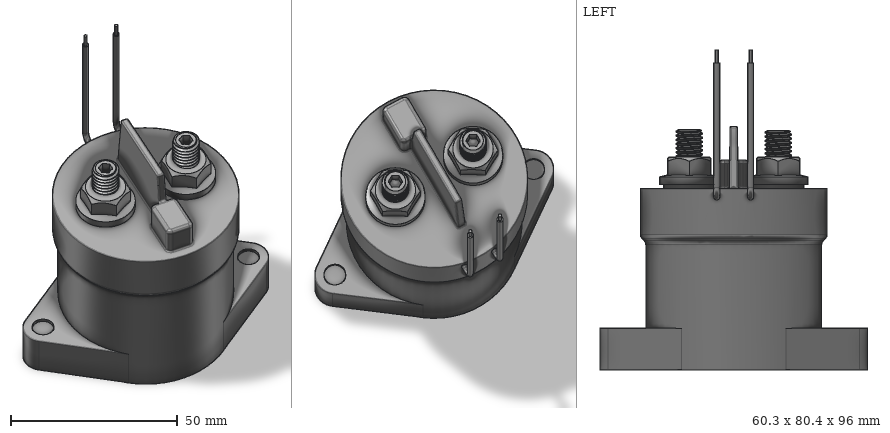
import cadquery as cq
import math

body_radius = 26.4
cap_radius = 28.0
cap_top = 54.5
step_top = 39.9
step_bottom = step_top - (cap_radius - body_radius)
step_blend = 1.7
rim_edge = 0.2

flange_height = 12.6
ear_radius = 6.0
flange_length = 80.4
ear_tip = flange_length / 2
ear_center = ear_tip - ear_radius
mount_hole_diameter = 6.5
mount_recess_depth = 1.0

block_x_min = 11.8
block_x_max = 24.9
block_width = 8.6
block_top = 63.1
block_edge = 1.2
block_corner = 1.5
fin_base_thickness = 2.6
fin_top_thickness = 2.3
fin_top = 73.1
fin_top_x_min = -15.1
fin_top_x_max = 10.8
fin_base_x_min = -17.1
fin_base_x_max = 12.9
fin_edge = 0.5
foot_flare = 0.5
seam_blend = 0.6

terminal_offset = 13.3
front_stud_top = 71.9
rear_stud_top = 72.2
pad_radius = 7.7
nut_base = 55.6
nut_flange_radius = 8.9
nut_flange_rim = 57.9
nut_flange_top = 58.8
nut_neck_radius = 5.8
nut_flats = 13.0
nut_corners = nut_flats / math.cos(math.pi / 6)
nut_top = 63.8
nut_crown_radius = 6.0
nut_chamfer_height = 1.2
stud_radius = 4.0
stud_root_radius = 3.3
stud_tip_radius = 3.1
stud_chamfer_height = 0.6
thread_pitch = 1.2
thread_crest = 0.2
thread_root_width = 1.1
thread_turns = 9
thread_start_depth = 9.7
socket_flats = 3.6
socket_depth = 4.0

wire_reach = 60.3
wire_y = 5.1
wire_exit_z = 51.9
wire_bend = 2.9
insulation_diameter = 1.8
wire_x = cap_radius - wire_reach + insulation_diameter / 2
wire_root_x = -cap_radius + insulation_diameter
insulation_top = 92.2
core_diameter = 1.0
core_top = 96.0

overlap = 0.1


def revolve_about_z(outline):
    """Turn a closed outline of (radius, z) points into a solid of revolution."""
    return cq.Workplane("XZ").polyline(outline).close().revolve(360, (0, 0, 0), (0, 1, 0))


def make_housing():
    housing = revolve_about_z(
        [
            (0, 0),
            (body_radius, 0),
            (body_radius, step_bottom),
            (cap_radius, step_top),
            (cap_radius, cap_top),
            (0, cap_top),
        ]
    )
    step_edges = cq.selectors.BoxSelector(
        (-cap_radius, -cap_radius, step_bottom - overlap),
        (cap_radius, cap_radius, step_top + overlap),
    )
    housing = housing.edges(step_edges).edges("%CIRCLE").fillet(step_blend)
    return housing.faces(">Z").edges().fillet(rim_edge)


def make_flange():
    tangent = math.asin((body_radius - ear_radius) / ear_center)
    body_x = body_radius * math.cos(tangent)
    body_y = body_radius * math.sin(tangent)
    ear_x = ear_radius * math.cos(tangent)
    ear_y = ear_center + ear_radius * math.sin(tangent)
    outline = (
        cq.Workplane("XY")
        .moveTo(body_x, body_y)
        .lineTo(ear_x, ear_y)
        .threePointArc((0, ear_tip), (-ear_x, ear_y))
        .lineTo(-body_x, body_y)
        .threePointArc((-body_radius, 0), (-body_x, -body_y))
        .lineTo(-ear_x, -ear_y)
        .threePointArc((0, -ear_tip), (ear_x, -ear_y))
        .lineTo(body_x, -body_y)
        .threePointArc((body_radius, 0), (body_x, body_y))
        .close()
    )
    return outline.extrude(flange_height).faces(">Z or <Z").edges().fillet(rim_edge)


def cut_mount_recesses(part):
    recesses = (
        cq.Workplane("XY", origin=(0, 0, flange_height - mount_recess_depth))
        .pushPoints([(0, ear_center), (0, -ear_center)])
        .circle(mount_hole_diameter / 2)
        .extrude(2 * mount_recess_depth)
    )
    return part.cut(recesses)


def make_block():
    block = (
        cq.Workplane("XY", origin=((block_x_min + block_x_max) / 2, 0, cap_top))
        .rect(block_x_max - block_x_min, block_width)
        .extrude(block_top - cap_top)
    )
    return block.edges("|Z").fillet(block_corner).faces(">Z").edges().fillet(block_edge)


def make_fin():
    base_middle = (fin_base_x_min + fin_base_x_max) / 2
    top_middle = (fin_top_x_min + fin_top_x_max) / 2
    fin = (
        cq.Workplane("XY", origin=(base_middle, 0, cap_top))
        .rect(fin_base_x_max - fin_base_x_min, fin_base_thickness)
        .workplane(offset=fin_top - cap_top)
        .center(top_middle - base_middle, 0)
        .rect(fin_top_x_max - fin_top_x_min, fin_top_thickness)
        .loft()
    )
    return fin.edges("not <Z").fillet(fin_edge)


def make_nut():
    flange = revolve_about_z(
        [
            (0, cap_top - overlap),
            (pad_radius, cap_top - overlap),
            (pad_radius, nut_base),
            (nut_flange_radius, nut_base),
            (nut_flange_radius, nut_flange_rim),
            (nut_neck_radius, nut_flange_top),
            (0, nut_flange_top),
        ]
    )
    hexagon = (
        cq.Workplane("XY", origin=(0, 0, nut_flange_rim))
        .polygon(6, nut_corners)
        .extrude(nut_top - nut_flange_rim)
    )
    crown = revolve_about_z(
        [
            (0, nut_flange_rim),
            (nut_corners / 2, nut_flange_rim),
            (nut_corners / 2, nut_top - nut_chamfer_height),
            (nut_crown_radius, nut_top),
            (0, nut_top),
        ]
    )
    return flange.union(hexagon.intersect(crown))


def make_stud(top):
    core = (
        cq.Workplane("XY", origin=(0, 0, nut_base))
        .circle(stud_root_radius)
        .extrude(top - nut_base + 2 * thread_pitch)
    )
    ridge_foot = stud_root_radius - overlap
    flank_slope = (thread_root_width - thread_crest) / (stud_radius - stud_root_radius) / 2
    foot_width = thread_root_width + 2 * flank_slope * overlap
    helix = cq.Wire.makeHelix(thread_pitch, thread_turns * thread_pitch, stud_root_radius)
    ridge = (
        cq.Workplane("XZ")
        .moveTo(ridge_foot, -foot_width / 2)
        .lineTo(stud_radius, -thread_crest / 2)
        .lineTo(stud_radius, thread_crest / 2)
        .lineTo(ridge_foot, foot_width / 2)
        .close()
        .sweep(cq.Workplane(helix), isFrenet=True)
        .translate((0, 0, top - thread_start_depth))
    )
    envelope = revolve_about_z(
        [
            (0, nut_base),
            (stud_radius + overlap, nut_base),
            (stud_radius + overlap, top - stud_chamfer_height),
            (stud_tip_radius, top),
            (0, top),
        ]
    )
    socket = (
        cq.Workplane("XY", origin=(0, 0, top - socket_depth))
        .polygon(6, socket_flats / math.cos(math.pi / 6))
        .extrude(socket_depth + overlap)
    )
    return core.union(ridge, clean=False).intersect(envelope, clean=False).cut(socket, clean=False)


def make_wire():
    path = (
        cq.Workplane("XZ")
        .moveTo(wire_root_x, wire_exit_z)
        .lineTo(wire_x + wire_bend, wire_exit_z)
        .tangentArcPoint((wire_x, wire_exit_z + wire_bend), relative=False)
        .lineTo(wire_x, insulation_top)
    )
    insulation = (
        cq.Workplane("YZ", origin=(wire_root_x, 0, wire_exit_z))
        .circle(insulation_diameter / 2)
        .sweep(path)
    )
    core = (
        cq.Workplane("XY", origin=(wire_x, 0, insulation_top - overlap))
        .circle(core_diameter / 2)
        .extrude(core_top - insulation_top + overlap)
    )
    return insulation.union(core)


def add_divider(part):
    seam_reach = fin_base_thickness / 2 + overlap
    seam_zone = cq.selectors.BoxSelector(
        (block_x_min - overlap, -seam_reach, cap_top + overlap),
        (block_x_min + overlap, seam_reach, block_top - block_edge + overlap),
    )
    divider = make_fin().union(make_block())
    divider = divider.edges(seam_zone).fillet(seam_blend)

    foot_reach = block_width / 2 + overlap
    foot_zone = cq.selectors.BoxSelector(
        (fin_base_x_min - overlap, -foot_reach, cap_top - overlap),
        (block_x_max + overlap, foot_reach, cap_top + overlap),
    )
    return part.union(divider).edges(foot_zone).fillet(foot_flare)


part = make_housing().union(make_flange())
part = cut_mount_recesses(part)
part = add_divider(part)

for y, stud_top in ((-terminal_offset, front_stud_top), (terminal_offset, rear_stud_top)):
    terminal = make_nut().union(make_stud(stud_top), clean=False)
    part = part.union(terminal.translate((0, y, 0)), clean=False)

for y in (-wire_y, wire_y):
    part = part.union(make_wire().translate((0, y, 0)), clean=False)

result = part